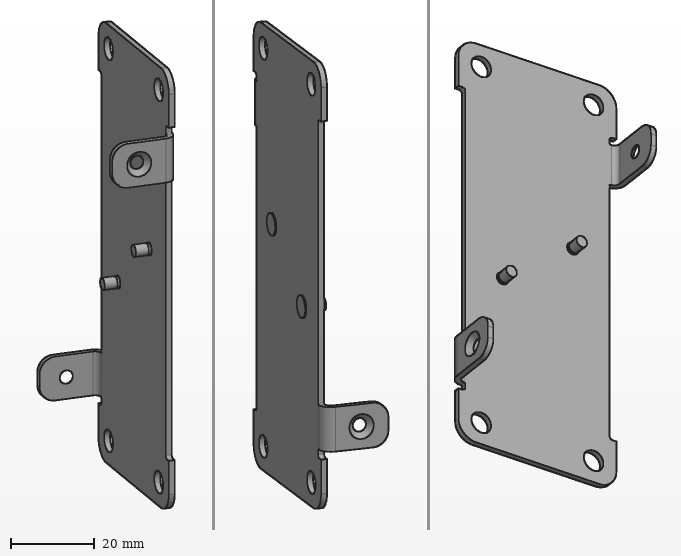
import cadquery as cq

plate_length = 111.0
plate_width = 45.0
waist_width = 41.1
thickness = 1.5
corner_radius = 5.0
end_height = 13.4
notch_radius = 0.9

mount_hole_diameter = 5.5
mount_hole_x = 16.0
mount_hole_z = 49.5

tab_span = 48.0
tab_reach = 16.6
tab_width = 11.1
tab_center_z = 34.4
bend_inner_radius = 1.4
tab_tip_radius = 4.0
tab_root_radius = 0.3
tab_hole_diameter = 3.3
tab_hole_from_back = 9.8
countersink_diameter = 6.2
countersink_angle = 90.0

stud_x = 10.0
stud_z = 7.4
stud_diameter = 3.0
stud_neck_diameter = 2.9
stud_neck_length = 2.2
stud_hole_diameter = 3.2
stud_reach = 5.5
stud_head_diameter = 5.5
stud_head_height = 0.3

tab_outer_x = tab_span / 2
bend_outer_radius = bend_inner_radius + thickness
bend_start_x = tab_outer_x - bend_outer_radius
stud_places = [(stud_x, stud_z), (-stud_x, -stud_z)]


def cylinder_along_y(x, z, diameter, y_start, y_end):
    """Cylinder parallel to Y, running from y_start towards -Y as far as y_end."""
    plane = cq.Workplane("XZ", origin=(x, y_start, z))
    return plane.circle(diameter / 2).extrude(y_start - y_end)


def make_plate():
    """Flat plate with rounded corners, a narrower waist and corner holes."""
    plate = cq.Workplane("XZ").rect(plate_width, plate_length).extrude(thickness)
    plate = plate.edges("|Y").fillet(corner_radius)

    waist_length = plate_length - 2 * end_height
    side_depth = (plate_width - waist_width) / 2
    for side in (-1, 1):
        side_cut = (
            cq.Workplane("XZ")
            .center(side * plate_width / 2, 0)
            .rect(2 * side_depth, waist_length)
            .extrude(thickness)
            .edges("|Y")
            .fillet(notch_radius)
        )
        plate = plate.cut(side_cut)

    holes = (
        cq.Workplane("XZ")
        .rect(2 * mount_hole_x, 2 * mount_hole_z, forConstruction=True)
        .vertices()
        .circle(mount_hole_diameter / 2)
        .extrude(thickness)
    )
    return plate.cut(holes)


def make_tab():
    """Tab on the +X side, bent towards -Y, with a hole countersunk from outside."""
    root_x = waist_width / 2 - thickness
    tab_inner_x = tab_outer_x - thickness
    tab = (
        cq.Workplane("XY", origin=(0, 0, tab_center_z))
        .moveTo(root_x, 0)
        .lineTo(bend_start_x, 0)
        .radiusArc((tab_outer_x, -bend_outer_radius), bend_outer_radius)
        .lineTo(tab_outer_x, -tab_reach)
        .lineTo(tab_inner_x, -tab_reach)
        .lineTo(tab_inner_x, -bend_outer_radius)
        .radiusArc((bend_start_x, -thickness), -bend_inner_radius)
        .lineTo(root_x, -thickness)
        .close()
        .extrude(tab_width / 2, both=True)
    )
    tab = tab.edges("|X and <Y").fillet(tab_tip_radius)
    return (
        tab.faces(">X")
        .workplane(origin=(tab_outer_x, -tab_hole_from_back, tab_center_z))
        .cskHole(tab_hole_diameter, countersink_diameter, countersink_angle)
    )


def make_bracket():
    """Plate with two tabs placed half a turn apart, and holes for the studs."""
    bracket = make_plate()
    tab = make_tab()
    for angle in (0, 180):
        bracket = bracket.union(tab.rotate((0, 0, 0), (0, 1, 0), angle))

    for side in (-1, 1):
        for edge in (-1, 1):
            root_z = side * tab_center_z + edge * tab_width / 2
            corner = (side * waist_width / 2, -thickness / 2, root_z)
            bracket = bracket.edges(cq.selectors.NearestToPointSelector(corner)).fillet(tab_root_radius)

    for x, z in stud_places:
        bracket = bracket.cut(cylinder_along_y(x, z, stud_hole_diameter, 0, -thickness))
    return bracket


def make_stud(x, z):
    """Stud with a thin head behind the plate, a collar filling the hole and a necked shank."""
    collar = cylinder_along_y(x, z, stud_hole_diameter, 0, -thickness)
    neck = cylinder_along_y(x, z, stud_neck_diameter, -thickness, -stud_neck_length)
    shank = cylinder_along_y(x, z, stud_diameter, -stud_neck_length, -stud_reach)
    head = cylinder_along_y(x, z, stud_head_diameter, stud_head_height, 0)
    return head.union(collar).union(neck).union(shank)


bracket = make_bracket()
studs = [make_stud(x, z) for x, z in stud_places]

result = cq.Compound.makeCompound([bracket.val(), *[stud.val() for stud in studs]])